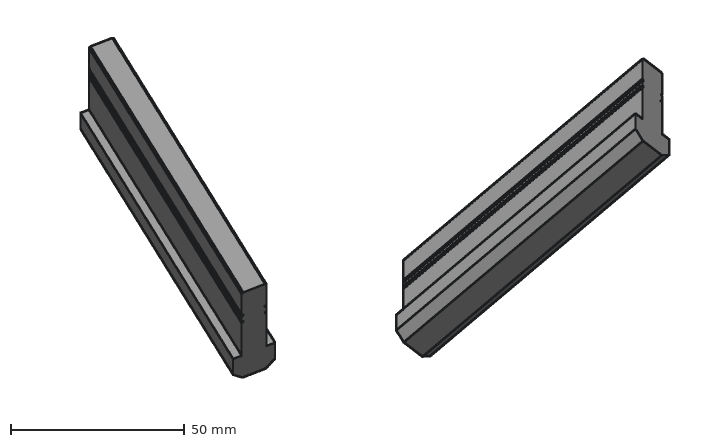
import cadquery as cq

length = 100.0
height = 40.0

foot_width = 13.5
foot_height = 10.5
foot_bevel = 3.0

web_width = 8.0
top_chamfer = 0.5

groove_depth = 0.5
upper_groove_drop = 10.7
groove_spacing = 3.0


def make_foot():
    """Foot bar, resting on Z = 0, with its two long lower edges bevelled."""
    foot = cq.Workplane("XY").box(length, foot_width, foot_height, centered=(True, True, False))
    return foot.faces("<Z").edges("|X").chamfer(foot_bevel)


def make_web():
    """Upright plate with its two long top edges chamfered."""
    web = cq.Workplane("XY").box(length, web_width, height, centered=(True, True, False))
    web = web.faces(">Z").edges("|X").chamfer(top_chamfer)
    above_foot = cq.Workplane("XY").workplane(offset=foot_height).rect(length, web_width)
    return web.intersect(above_foot.extrude(height - foot_height))


def make_groove_cutter(side, center_z):
    """Diamond bar centred on a web face; its inner half cuts the V-groove."""
    return (
        cq.Workplane("YZ")
        .center(side * web_width / 2, center_z)
        .polyline([(-groove_depth, 0), (0, groove_depth), (groove_depth, 0), (0, -groove_depth)])
        .close()
        .extrude(length / 2, both=True)
    )


result = make_foot().union(make_web())
for side in (-1, 1):
    for groove_index in range(2):
        groove_z = height - upper_groove_drop - groove_index * groove_spacing
        result = result.cut(make_groove_cutter(side, groove_z))